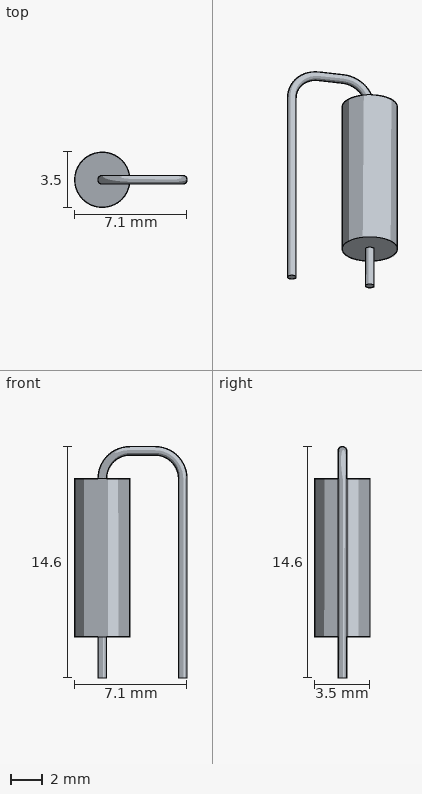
import cadquery as cq

body_diameter = 3.5
body_length = 10.0
lead_diameter = 0.55
overall_height = 14.62
overall_width = 7.1

body_radius = body_diameter / 2
lead_radius = lead_diameter / 2
bend_radius = body_radius
lead_spacing = overall_width - body_radius - lead_radius
bend_height = bend_radius + lead_radius
lead_length = overall_height - body_length - bend_height
lead_bottom = -lead_length
straight_end = lead_spacing - bend_radius
crown_height = body_length + bend_radius


def make_body():
    """Solid cylinder standing on the XY plane."""
    return cq.Workplane("XY").circle(body_radius).extrude(body_length)


def make_short_lead():
    """Straight lead leaving the bottom of the body."""
    return cq.Workplane("XY").circle(lead_radius).extrude(lead_bottom)


def make_bent_lead():
    """Round wire from the body top, over two quarter bends, down beside the body."""
    path = (
        cq.Workplane("XZ")
        .moveTo(0, body_length)
        .radiusArc((bend_radius, crown_height), bend_radius)
        .lineTo(straight_end, crown_height)
        .radiusArc((lead_spacing, body_length), bend_radius)
        .lineTo(lead_spacing, lead_bottom)
    )
    return cq.Workplane("XY").workplane(offset=body_length).circle(lead_radius).sweep(path)


result = make_body().union(make_short_lead()).union(make_bent_lead())